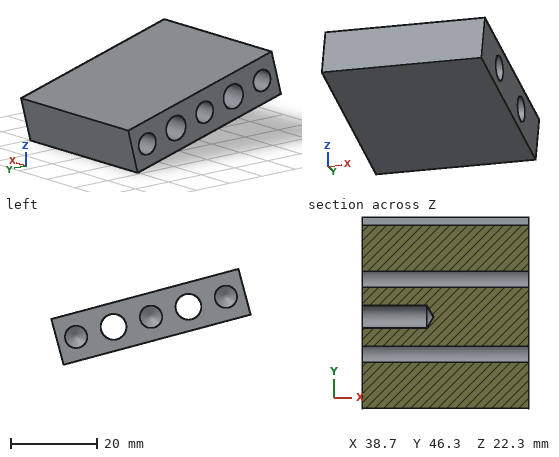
import cadquery as cq
import math

width = 38.7
depth_along_y = 46.3
thickness = 11.0
tilt_angle = 15.0
tilt = math.radians(tilt_angle)
length = (depth_along_y - thickness * math.sin(tilt)) / math.cos(tilt)

hole_count = 5
hole_pitch = length / hole_count
through_diameter = 5.95
blind_diameter = 5.2
blind_depth = 15.0
drill_point_angle = 118.0


def make_through_hole(y):
    """Plain hole along X, right through the width of the block."""
    return cq.Workplane("YZ", origin=(-width / 2, y, 0)).circle(through_diameter / 2).extrude(width)


def make_blind_hole(y):
    """Drilled hole with a conical bottom, revolved about its own axis."""
    radius = blind_diameter / 2
    point_length = radius / math.tan(math.radians(drill_point_angle / 2))
    return (
        cq.Workplane("XY", origin=(-width / 2, y, 0))
        .polyline([(0, 0), (0, radius), (blind_depth, radius), (blind_depth + point_length, 0)])
        .close()
        .revolve(360, (0, 0), (1, 0))
    )


block = cq.Workplane("XY").box(width, length, thickness)

for index in range(hole_count):
    hole_y = (index - (hole_count - 1) / 2) * hole_pitch
    make_hole = make_blind_hole if index % 2 == 0 else make_through_hole
    block = block.cut(make_hole(hole_y))

result = block.rotate((0, 0, 0), (1, 0, 0), -tilt_angle)